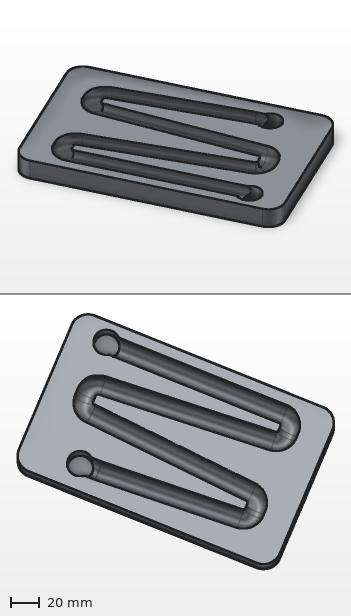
import cadquery as cq
import math

LENGTH = 195.0
WIDTH = 120.0
THICKNESS = 15.0
CORNER_RADIUS = 12.0

CHANNEL_DIAMETER = 16.0
CHANNEL_MOUTH = 13.5
AXIS_DEPTH = math.sqrt(CHANNEL_DIAMETER**2 - CHANNEL_MOUTH**2) / 2
AXIS_Z = THICKNESS - AXIS_DEPTH
BEND_RADIUS = 8.4
LEFT_BEND_X = -70.0
RIGHT_BEND_X = 69.6
LEAD_IN_X = 41.5

WELL_DIAMETER = 18.0
WELL_DEPTH = 13.6
UPPER_WELL = (54.5, 41.3)
LOWER_WELL = (70.5, -45.5)

CHANNEL_END_Y = -44.7

AXIS_POINTS = [
    UPPER_WELL,
    (LEAD_IN_X, UPPER_WELL[1]),
    (LEFT_BEND_X, 35.1),
    (LEFT_BEND_X, 15.8),
    (RIGHT_BEND_X, 5.0),
    (RIGHT_BEND_X, -15.2),
    (LEFT_BEND_X, -24.8),
    (LEFT_BEND_X, CHANNEL_END_Y),
    (LOWER_WELL[0], CHANNEL_END_Y),
]


def rounded_corner(before, corner, after, radius):
    """Return the start, middle and end points of the arc that rounds a corner."""
    corner = cq.Vector(*corner)
    to_before = (cq.Vector(*before) - corner).normalized()
    to_after = (cq.Vector(*after) - corner).normalized()
    half_angle = to_before.getAngle(to_after) / 2
    tangent_length = radius / math.tan(half_angle)
    middle_distance = radius / math.sin(half_angle) - radius
    bisector = (to_before + to_after).normalized()
    return (
        corner + to_before * tangent_length,
        corner + bisector * middle_distance,
        corner + to_after * tangent_length,
    )


def rounded_path(points, radius, z):
    """Join the points with straight lines and round every inner corner."""
    path = cq.Workplane("XY", origin=(0, 0, z)).moveTo(*points[0])
    for before, corner, after in zip(points, points[1:], points[2:]):
        start, middle, end = rounded_corner(before, corner, after, radius)
        path = path.lineTo(start.x, start.y)
        path = path.threePointArc((middle.x, middle.y), (end.x, end.y))
    return path.lineTo(*points[-1])


def channel_along(points):
    """Sweep the round channel section along a rounded path below the top face."""
    start = cq.Vector(*points[0], AXIS_Z)
    direction = cq.Vector(*points[1], AXIS_Z) - start
    section = cq.Workplane(cq.Plane(origin=start, xDir=(0, 1, 0), normal=direction))
    path = rounded_path(points, BEND_RADIUS, AXIS_Z)
    return section.circle(CHANNEL_DIAMETER / 2).sweep(path)


plate = cq.Workplane("XY").box(LENGTH, WIDTH, THICKNESS, centered=(True, True, False))
plate = plate.edges("|Z").fillet(CORNER_RADIUS)

serpentine = channel_along(AXIS_POINTS)
wells = (
    cq.Workplane("XY", origin=(0, 0, THICKNESS))
    .pushPoints([UPPER_WELL, LOWER_WELL])
    .circle(WELL_DIAMETER / 2)
    .extrude(-WELL_DEPTH)
)

result = plate.cut(serpentine).cut(wells)